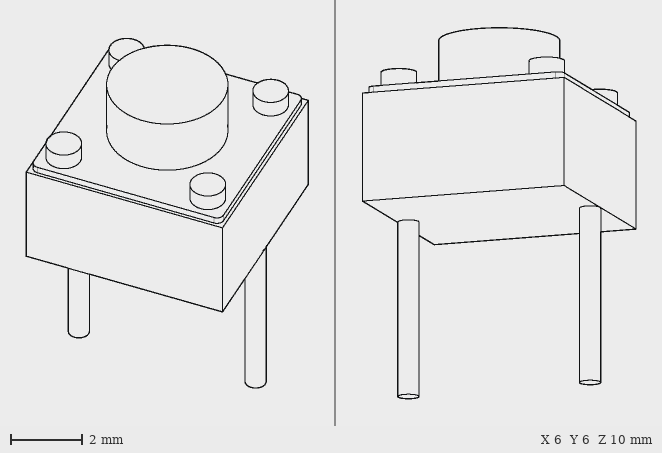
import cadquery as cq

body_side = 6
body_height = 3.1

cover_margin = 0.1
cover_side = body_side - 2 * cover_margin
cover_thickness = 0.2
cover_corner_radius = 0.2
cover_top = body_height + cover_thickness

button_diameter = 3.4
button_height = 1.7

rivet_diameter = 1
rivet_height = 0.5
rivet_offset = 2.2

pin_diameter = 0.6
pin_length = 5
pin_offset = (body_side - pin_diameter) / 2


def cylinders(points, diameter, base_z, height):
    """Vertical cylinders at the given points; a negative height extends downward."""
    return (
        cq.Workplane("XY", origin=(0, 0, base_z))
        .pushPoints(points)
        .circle(diameter / 2)
        .extrude(height)
    )


body = cq.Workplane("XY").rect(body_side, body_side).extrude(body_height)

cover = (
    cq.Workplane("XY", origin=(0, 0, body_height))
    .rect(cover_side, cover_side)
    .extrude(cover_thickness)
    .edges("|Z")
    .fillet(cover_corner_radius)
)

button = cylinders([(0, 0)], button_diameter, cover_top, button_height)

rivet_points = [(x * rivet_offset, y * rivet_offset) for x in (-1, 1) for y in (-1, 1)]
rivets = cylinders(rivet_points, rivet_diameter, cover_top, rivet_height)

pin_points = [(-pin_offset, 0), (pin_offset, 0)]
pins = cylinders(pin_points, pin_diameter, 0, -pin_length)

result = body.union(cover).union(button).union(rivets).union(pins)